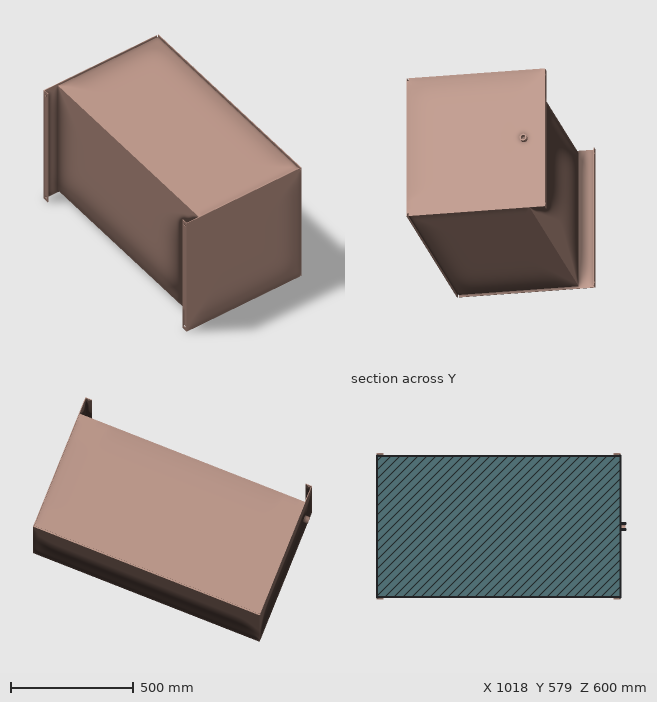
import cadquery as cq

overall_width = 1018.0
depth = 579.0
height = 600.0
gland_length = 20.0
shell_width = overall_width - gland_length

sheet = 3.0
rear_gap = 5.0
flange_width = 29.0

box_setback = 70.0
box_end_gap = 10.0
rear_step = 2.0

slot_length = 15.0
slot_height = 11.0
slot_edge_inset = 15.0
slot_end_inset = 19.0

gland_diameter = 30.0
gland_bore = 18.0
gland_clearance = 2.0
gland_setback = box_setback + gland_diameter / 2 + gland_clearance


def corner_block(x_size, y_size, z_size, x, y):
    """Block with its low X and Y corner at (x, y), centred on Z."""
    block = cq.Workplane("XY").box(x_size, y_size, z_size, centered=(False, False, True))
    return block.translate((x, y, 0))


def make_shell():
    """Rear panel, two side walls stopping short of it and their inward front flanges."""
    wall_depth = depth - sheet - rear_gap
    shell = corner_block(shell_width, sheet, height, 0, depth - sheet)
    for wall_x in (0, shell_width - sheet):
        shell = shell.union(corner_block(sheet, wall_depth, height, wall_x, 0))
    for flange_x in (0, shell_width - flange_width):
        shell = shell.union(corner_block(flange_width, sheet, height, flange_x, 0))
    return shell


def make_box():
    """Box flush with the outer faces of the shell, with a lower step against the rear panel."""
    box_height = height - 2 * box_end_gap
    box_rear = depth - sheet - rear_gap
    box = corner_block(shell_width, box_rear - box_setback, box_height, 0, box_setback)
    step = corner_block(shell_width, rear_gap, box_height - 2 * rear_step, 0, box_rear)
    return box.union(step)


def make_slots():
    """Horizontal slots at both ends of each front flange."""
    slot_z = height / 2 - slot_end_inset
    slot_x = (slot_edge_inset, shell_width - slot_edge_inset)
    centres = [(x, z) for x in slot_x for z in (-slot_z, slot_z)]
    return cq.Workplane("XZ").pushPoints(centres).slot2D(slot_length, slot_height).extrude(-sheet)


def make_gland():
    """Open tube standing out from the -X wall."""
    profile = cq.Workplane("YZ").center(gland_setback, 0)
    tube = profile.circle(gland_diameter / 2).circle(gland_bore / 2)
    return tube.extrude(-gland_length)


result = make_shell().cut(make_slots()).union(make_box()).union(make_gland())